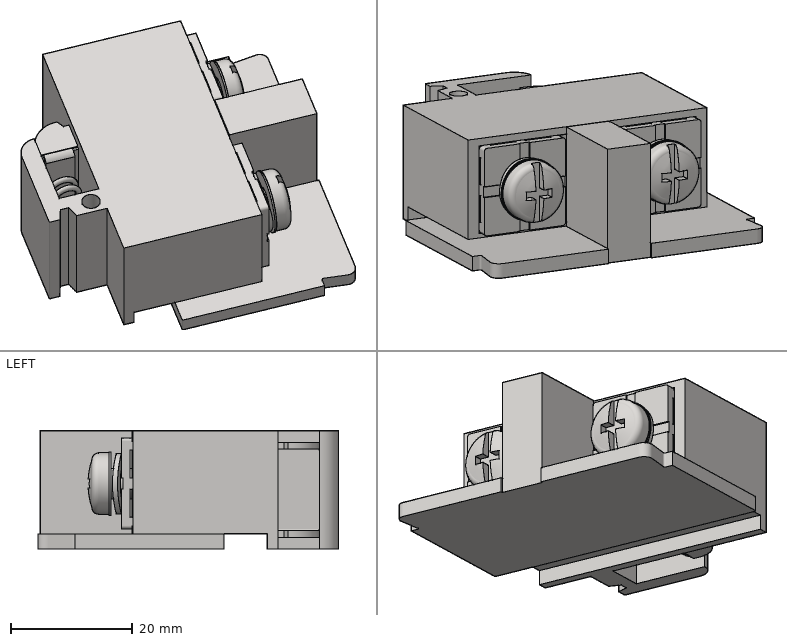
import cadquery as cq
import math


DIAGONAL = math.sqrt(0.5)

overall_width = 52.0
overall_height = 19.5
back_y = 39.5

base_thickness = 2.5
base_depth = 30.7
base_corner_radius = 0.25
tail_depth = 6.1
tail_root_half_width = 24.4
tail_end_half_width = 25.15
tail_corner_radius = 1.5
tail_root_radius = 0.3

block_width = 44.0
block_depth = 23.85
lip_depth = 1.75

divider_width = 7.9
divider_setback = 0.35

slot_depth = 6.85
bar_thickness = 3.1
bar_corner_radius = 0.2
bar_left_x = -5.05
post_left_x = 8.55
post_right_x = 12.95
bar_front_y = -(slot_depth + bar_thickness)
pin_hole_diameter = 3.0
pin_hole_y = -2.1
pin_hole_depth = 2 * pin_hole_diameter

notch_depth = 2.05
notch_y = -6.7
notch_mouth_half_width = 1.45
notch_floor_half_width = 0.75

terminal_offset = 12.5
terminal_z = 10.75
pad_thickness = 0.15
clamp_size = 15.0
clamp_top = 1.9
clamp_corner_radius = 0.5
clamp_groove_width = 1.8
clamp_groove_depth = 0.3
clamp_relief_start = 0.95
clamp_relief_end = 5.5
clamp_relief_depth = 0.3

washer_radius = 5.0
washer_thickness = 0.85
washer_sag = 0.6

shank_radius = 2.5
head_bottom = 3.65
head_rim_radius = 5.25
head_rim_height = 0.3
head_radius = 5.1
head_side_top = 5.6
crown_edge_radius = 4.05
crown_edge_height = 6.75
head_top = 7.45
drive_slot_width = 1.45
drive_slot_floor = 5.7
cross_slot_length = 4.7

latch_height = 15.65
latch_center_z = overall_height / 2
latch_plate_thickness = 1.15
latch_right_x = -2.85
latch_corner_radius = 0.25
latch_web_left_x = -4.95
latch_inner_radius = 0.15
latch_shoulder_x = -7.65
latch_shoulder_y = -1.0
latch_tip_x = -8.9
latch_tip_y = -1.65
latch_nose_radius = 4.9
backing_thickness = 0.4
backing_height = 15.1
seat_height = 15.4
seat_width = 5.0
seat_length = 1.35
seat_rounding = 1.65

spring_axis_y = -slot_depth / 2
spring_left_x = latch_right_x + seat_length
spring_right_x = post_left_x
spring_outer_diameter = 6.0
wire_diameter = 1.0
coil_count = 4.5
spring_end_inset = 0.2
spring_first_coil_x = spring_left_x + spring_end_inset
spring_path_length = 9.65
coil_closing = 0.35
spring_curve_points = 60


def box(x_range, y_range, z_range):
    """Box between pairs of coordinates."""
    (x0, x1), (y0, y1), (z0, z1) = x_range, y_range, z_range
    return cq.Workplane("XY").box(x1 - x0, y1 - y0, z1 - z0, centered=False).translate((x0, y0, z0))


def make_base_plate():
    half = overall_width / 2
    step_y = back_y - tail_depth
    front_y = back_y - base_depth
    right_side = [
        (half, front_y),
        (half, step_y),
        (tail_root_half_width, step_y),
        (tail_end_half_width, back_y),
    ]
    left_side = [(-x, y) for x, y in reversed(right_side)]
    plate = cq.Workplane("XY").polyline(right_side + left_side).close().extrude(base_thickness)
    margin = 0.05
    back_corners = cq.selectors.BoxSelector(
        (-half, back_y - margin, 0), (half, back_y + margin, base_thickness)
    )
    plate = plate.edges("|Z").edges(back_corners).fillet(tail_corner_radius)
    root_reach = tail_root_half_width + margin
    roots = cq.selectors.BoxSelector(
        (-root_reach, step_y - margin, 0), (root_reach, step_y + margin, base_thickness)
    )
    plate = plate.edges("|Z").edges(roots).fillet(tail_root_radius)
    plate = plate.edges("|Z and <Y").fillet(base_corner_radius)
    divider_half = divider_width / 2
    relief = box((-divider_half, divider_half), (back_y - divider_setback, back_y), (0, base_thickness))
    return plate.cut(relief)


def make_block():
    half = block_width / 2
    block = box((-half, half), (0, block_depth), (base_thickness, overall_height))
    lip = box((-half, half), (0, lip_depth), (0, base_thickness))
    return block.union(lip)


def make_divider():
    half = divider_width / 2
    y_range = (block_depth + pad_thickness, back_y - divider_setback)
    return box((-half, half), y_range, (base_thickness, overall_height))


def make_terminal_pad():
    """Thin pad on the block's rear face, behind both clamps and the divider."""
    half_width = terminal_offset + clamp_size / 2
    half_height = clamp_size / 2
    return box(
        (-half_width, half_width),
        (block_depth, block_depth + pad_thickness),
        (terminal_z - half_height, terminal_z + half_height),
    )


def make_latch_post():
    """L-shaped post and front bar that hold the latch, with a notch in the right side."""
    notch_floor_x = post_right_x - notch_depth
    arc_middle = bar_thickness * DIAGONAL
    post = (
        cq.Workplane("XY")
        .moveTo(post_left_x, 0)
        .lineTo(post_left_x, -slot_depth)
        .lineTo(bar_left_x, -slot_depth)
        .threePointArc(
            (bar_left_x + bar_thickness - arc_middle, -slot_depth - arc_middle),
            (bar_left_x + bar_thickness, bar_front_y),
        )
        .lineTo(post_right_x, bar_front_y)
        .lineTo(post_right_x, notch_y - notch_mouth_half_width)
        .lineTo(notch_floor_x, notch_y - notch_floor_half_width)
        .lineTo(notch_floor_x, notch_y + notch_floor_half_width)
        .lineTo(post_right_x, notch_y + notch_mouth_half_width)
        .lineTo(post_right_x, 0)
        .close()
        .extrude(overall_height)
    )
    pin_hole = (
        cq.Workplane("XY", origin=(0, 0, overall_height))
        .center((post_left_x + post_right_x) / 2, pin_hole_y)
        .circle(pin_hole_diameter / 2)
        .extrude(-pin_hole_depth)
    )
    front_right_corner = cq.selectors.NearestToPointSelector((post_right_x, bar_front_y, overall_height / 2))
    return post.cut(pin_hole).edges("|Z").edges(front_right_corner).fillet(bar_corner_radius)



def make_clamp():
    half = clamp_size / 2
    clamp = box((-half, half), (pad_thickness, clamp_top), (-half, half))
    clamp = clamp.edges("|Y").fillet(clamp_corner_radius)
    groove_half = clamp_groove_width / 2
    groove = box((-groove_half, groove_half), (clamp_top - clamp_groove_depth, clamp_top), (-half, half))
    relief_heights = (pad_thickness, pad_thickness + clamp_relief_depth)
    cutters = [
        groove,
        box((clamp_relief_start, clamp_relief_end), relief_heights, (-half, half)),
        box((-clamp_relief_end, -clamp_relief_start), relief_heights, (-half, half)),
    ]
    for cutter in cutters:
        clamp = clamp.cut(cutter)
        clamp = clamp.cut(cutter.rotate((0, 0, 0), (0, 1, 0), 90))
    return clamp


def make_wave_washer():
    """Disc bent upwards at its -X and +X sides."""
    low = clamp_top
    high = low + washer_sag
    disc = cq.Workplane("XZ").circle(washer_radius).extrude(-head_bottom)
    bent_strip = (
        cq.Workplane("XY")
        .moveTo(-washer_radius, high)
        .threePointArc((0, low), (washer_radius, high))
        .lineTo(washer_radius, high + washer_thickness)
        .threePointArc((0, low + washer_thickness), (-washer_radius, high + washer_thickness))
        .close()
        .extrude(washer_radius, both=True)
    )
    return bent_strip.intersect(disc)


def make_screw():
    shank = cq.Workplane("XZ").circle(shank_radius).extrude(-head_bottom)
    rim_top = head_bottom + head_rim_height
    shoulder_middle = (
        crown_edge_radius + (head_radius - crown_edge_radius) * DIAGONAL,
        head_side_top + (crown_edge_height - head_side_top) * DIAGONAL,
    )
    crown_middle = (crown_edge_radius / 2, head_top - (head_top - crown_edge_height) / 4)
    head = (
        cq.Workplane("XY")
        .moveTo(0, head_bottom)
        .lineTo(head_rim_radius, head_bottom)
        .lineTo(head_rim_radius, rim_top)
        .lineTo(head_radius, rim_top)
        .lineTo(head_radius, head_side_top)
        .threePointArc(shoulder_middle, (crown_edge_radius, crown_edge_height))
        .threePointArc(crown_middle, (0, head_top))
        .close()
        .revolve(360, (0, 0, 0), (0, 1, 0))
    )
    slot_half = drive_slot_width / 2
    slot_heights = (drive_slot_floor, head_top)
    drive_slot = box((-slot_half, slot_half), slot_heights, (-head_radius, head_radius))
    cross_half = cross_slot_length / 2
    cross_slot = box((-cross_half, cross_half), slot_heights, (-slot_half, slot_half))
    return shank.union(head).cut(drive_slot).cut(cross_slot)


def make_terminal():
    return make_clamp().union(make_wave_washer()).union(make_screw())


def make_housing():
    housing = make_block().union(make_base_plate()).union(make_terminal_pad())
    housing = housing.union(make_divider()).union(make_latch_post())
    terminal = make_terminal()
    for x in (-terminal_offset, terminal_offset):
        housing = housing.union(terminal.translate((x, block_depth, terminal_z)))
    return housing


def make_latch():
    """Two rounded plates joined by a web, with a rounded seat for the spring."""
    bottom_z = latch_center_z - latch_height / 2
    nose_center_x = latch_tip_x + latch_nose_radius
    nose_center_y = latch_nose_radius - slot_depth
    nose_middle = latch_nose_radius * DIAGONAL
    latch = (
        cq.Workplane("XY", origin=(0, 0, bottom_z))
        .moveTo(latch_right_x, 0)
        .lineTo(latch_shoulder_x, 0)
        .lineTo(latch_shoulder_x, latch_shoulder_y)
        .lineTo(latch_tip_x, latch_tip_y)
        .lineTo(latch_tip_x, nose_center_y)
        .threePointArc(
            (nose_center_x - nose_middle, nose_center_y - nose_middle),
            (nose_center_x, -slot_depth),
        )
        .lineTo(latch_right_x, -slot_depth)
        .close()
        .extrude(latch_height)
    )
    latch = latch.edges("|Z and >X").fillet(latch_corner_radius)
    opening_half = latch_height / 2 - latch_plate_thickness
    opening_z = (latch_center_z - opening_half, latch_center_z + opening_half)
    opening = box((latch_tip_x, latch_web_left_x), (-slot_depth, 0), opening_z)
    opening = opening.edges("|Y and >X").fillet(latch_inner_radius)
    web = box((latch_web_left_x, latch_right_x), (-slot_depth, 0), opening_z)
    latch = latch.cut(opening).union(web)
    return latch.union(make_latch_backing()).union(make_spring_seat())


def make_latch_backing():
    z_range = (latch_center_z - backing_height / 2, latch_center_z + backing_height / 2)
    return box((latch_right_x, latch_right_x + backing_thickness), (-slot_depth, 0), z_range)


def make_spring_seat():
    """Upright rib with rounded top and bottom, cut flat where the spring rests."""
    y_range = (spring_axis_y - seat_width / 2, spring_axis_y + seat_width / 2)
    z_range = (latch_center_z - seat_height / 2, latch_center_z + seat_height / 2)
    seat = box((latch_web_left_x, latch_right_x + seat_rounding), y_range, z_range)
    seat = seat.edges("|Y and >X").fillet(seat_rounding)
    flat_part = box((latch_right_x, spring_left_x), y_range, z_range)
    return seat.intersect(flat_part)


def spring_point(t):
    """Point on the wire's centre line, t from 0 to 1; the coils lie closer together at both ends."""
    radius = (spring_outer_diameter - wire_diameter) / 2
    angle = 2 * math.pi * coil_count * t
    x = spring_first_coil_x + spring_path_length * t - coil_closing * math.sin(2 * math.pi * t)
    y = spring_axis_y + radius * math.cos(angle)
    z = latch_center_z + radius * math.sin(angle)
    return (x, y, z)


def make_spring():
    """Coil spring ground flat against the latch seat and the post."""
    path = cq.Workplane("XY").parametricCurve(spring_point, N=spring_curve_points)
    wire_start = cq.Plane(origin=spring_point(0), xDir=(0, 1, 0), normal=path.val().tangentAt(0))
    coil = cq.Workplane(wire_start).circle(wire_diameter / 2).sweep(path, isFrenet=True)
    seat_space = box((spring_left_x, spring_right_x), (-slot_depth, 0), (0, overall_height))
    return coil.intersect(seat_space)


housing = make_housing()
latch = make_latch()
spring = make_spring()

result = cq.Compound.makeCompound([housing.val(), latch.val(), spring.val()])